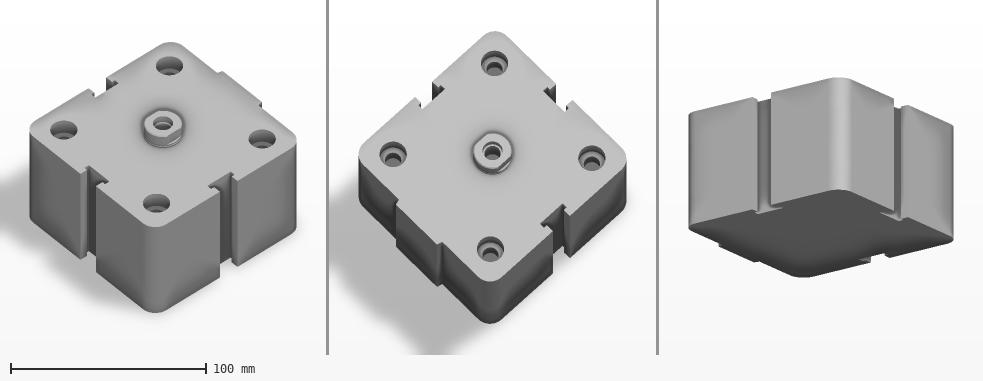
import cadquery as cq

housing_width = 102.0
housing_height = 61.0
cap_height = 16.5
barrel_height = housing_height - 2 * cap_height
corner_radius = 8.5

tab_height = 3.0
tab_base_width = 32.0
tab_tip_width = 30.5

slot_mouth_width = 12.0
slot_inner_width = 16.0
slot_lip_thickness = 4.5
slot_depth = 7.5

screw_spacing = 72.0
screw_recess_diameter = 14.0
screw_recess_depth = 8.6
screw_hole_diameter = 8.38
screw_hole_depth = 16.5

rod_bottom = housing_height - cap_height
rod_diameter = 20.0
rod_shoulder = housing_height + 1.0
rod_head_diameter = 19.5
rod_top = housing_height + 8.0
rod_top_chamfer = 0.5
rod_shoulder_chamfer = (rod_diameter - rod_head_diameter) / 2
rod_flats_width = 17.0
rod_flats_bottom = housing_height + 2.0

thread_recess_diameter = 10.3
thread_recess_depth = 4.0
thread_hole_diameter = 8.38
thread_hole_depth = 16.0


def housing_section(bottom, height):
    """One layer of the housing: rounded square with the tab and the three T-slots."""
    half = housing_width / 2
    layer = (
        cq.Workplane("XY", origin=(0, 0, bottom))
        .rect(housing_width, housing_width)
        .extrude(height)
        .edges("|Z")
        .fillet(corner_radius)
    )
    tab = (
        cq.Workplane("XY", origin=(0, 0, bottom))
        .moveTo(-tab_base_width / 2, half)
        .lineTo(-tab_tip_width / 2, half + tab_height)
        .lineTo(tab_tip_width / 2, half + tab_height)
        .lineTo(tab_base_width / 2, half)
        .close()
        .extrude(height)
    )
    layer = layer.union(tab)
    for angle in (-90, 0, 180):
        layer = layer.cut(t_slot(bottom, height).rotate((0, 0, 0), (0, 0, 1), angle))
    return layer


def t_slot(bottom, height):
    """The space of a T-slot open towards +X."""
    half = housing_width / 2
    inner_depth = slot_depth - slot_lip_thickness
    mouth = (
        cq.Workplane("XY", origin=(half - slot_depth / 2, 0, bottom))
        .rect(slot_depth, slot_mouth_width)
        .extrude(height)
    )
    inner = (
        cq.Workplane("XY", origin=(half - slot_depth + inner_depth / 2, 0, bottom))
        .rect(inner_depth, slot_inner_width)
        .extrude(height)
    )
    return mouth.union(inner)


def make_housing():
    housing = housing_section(0, cap_height)
    housing = housing.union(housing_section(cap_height, barrel_height), clean=False)
    housing = housing.union(housing_section(cap_height + barrel_height, cap_height), clean=False)

    screws = (
        cq.Workplane("XY", origin=(0, 0, housing_height))
        .rect(screw_spacing, screw_spacing, forConstruction=True)
        .vertices()
    )
    recesses = screws.circle(screw_recess_diameter / 2).extrude(-screw_recess_depth)
    holes = screws.circle(screw_hole_diameter / 2).extrude(-screw_hole_depth)
    rod_bore = rod_cylinder(rod_diameter, housing_height)
    for opening in (recesses, holes, rod_bore):
        housing = housing.cut(opening, clean=False)
    return housing


def rod_cylinder(diameter, top):
    """A cylinder on the rod axis, from the bottom of the rod up to the given height."""
    return cq.Workplane("XY", origin=(0, 0, rod_bottom)).circle(diameter / 2).extrude(top - rod_bottom)


def make_rod():
    lower = rod_cylinder(rod_diameter, rod_shoulder).faces(">Z").chamfer(rod_shoulder_chamfer)
    head = rod_cylinder(rod_head_diameter, rod_top).faces(">Z").chamfer(rod_top_chamfer)
    rod = lower.union(head)

    clearance = 2 * rod_diameter
    flats = (
        cq.Workplane("XY", origin=(0, 0, rod_flats_bottom))
        .rect(clearance, clearance)
        .rect(rod_flats_width, clearance)
        .extrude(rod_top - rod_flats_bottom)
    )
    rod = rod.cut(flats)

    top = cq.Workplane("XY", origin=(0, 0, rod_top))
    rod = rod.cut(top.circle(thread_recess_diameter / 2).extrude(-thread_recess_depth))
    return rod.cut(top.circle(thread_hole_diameter / 2).extrude(-thread_hole_depth))


housing = make_housing()
rod = make_rod()
result = cq.Compound.makeCompound([housing.val(), rod.val()])